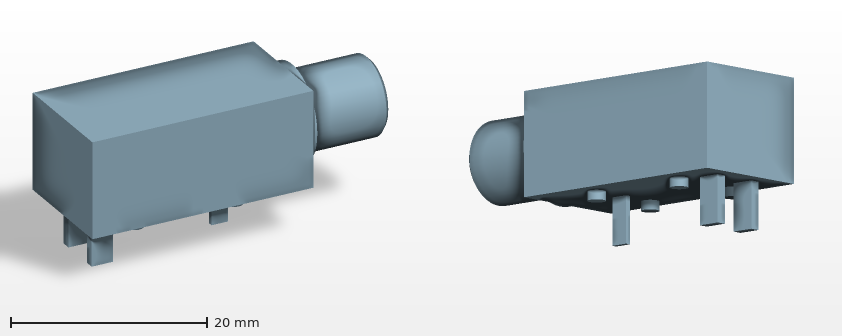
import cadquery as cq

total_length = 35.5
housing_width = 13.0
housing_height = 11.0
total_height = 16.0
barrel_length = 9.0
flange_thickness = 1.0
housing_length = total_length - barrel_length - flange_thickness
axis_height = housing_height / 2

flange_diameter = 11.0
barrel_diameter = 8.8
barrel_chamfer = 0.45

peg_diameter = 1.9
peg_length = 1.0
peg_offset = 4.0
peg_positions_y = (6.2, 17.68)

pin_length = total_height - housing_height
rear_pin_width = 1.05
rear_pin_depth = 2.5
rear_pin_offset = 2.52
rear_pin_y = 2.98
front_pin_width = 0.6
front_pin_depth = 1.9
front_pin_y = 18.0


def nose_cylinder(diameter, start_y, length):
    """Cylinder on the nose axis, growing toward +Y."""
    plane = cq.Plane(origin=(0, start_y, axis_height), xDir=(1, 0, 0), normal=(0, 1, 0))
    return cq.Workplane(plane).circle(diameter / 2).extrude(length)


def pin(x, y, width, depth):
    """Rectangular pin hanging from the underside."""
    return cq.Workplane("XY").center(x, y).rect(width, depth).extrude(-pin_length)


housing = cq.Workplane("XY").box(
    housing_width, housing_length, housing_height, centered=(True, False, False)
)
flange = nose_cylinder(flange_diameter, housing_length, flange_thickness)
barrel = nose_cylinder(barrel_diameter, total_length - barrel_length, barrel_length)
barrel = barrel.faces(">Y").chamfer(barrel_chamfer)

peg_centres = [(side * peg_offset, y) for side in (-1, 1) for y in peg_positions_y]
pegs = cq.Workplane("XY").pushPoints(peg_centres).circle(peg_diameter / 2).extrude(-peg_length)

result = housing.union(flange).union(barrel).union(pegs)
for side in (-1, 1):
    result = result.union(pin(side * rear_pin_offset, rear_pin_y, rear_pin_width, rear_pin_depth))
result = result.union(pin(0, front_pin_y, front_pin_width, front_pin_depth))